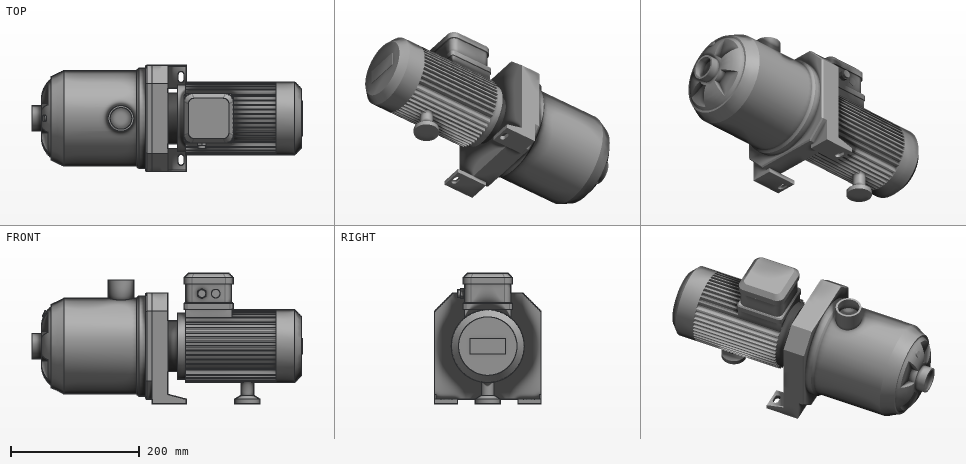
import cadquery as cq
import math


HUB_X = 14.7
POCKET_FLOOR_X = 25.3
DOME_BASE_X = 30.0
SHELL_X = 50.0
COLLAR_X = 166.3
PLATE_X = 176.8
PLATE_STEP_X = 187.0
LANTERN_X = 211.5
LANTERN_FLANGE_X = 226.0
MOTOR_X = 238.5
FAN_COVER_X = 379.2
FAN_TAPER_X = 408.5
FAN_END_X = 419.5
END_X = 421.0

GROUND_Z = -89.5

PIPE_DIA = 40.0
PIPE_BORE = 33.5
HUB_R = 25.0
DOME_MID = (19.8, 49.2)
DOME_R = 61.5
TAPER_R = 65.0
SHELL_R = 149.0 / 2
COLLAR_R = 156.5 / 2
POCKET_ANGLE = 45.0
POCKET_COUNT = 4
OUTLET_X = 138.5
OUTLET_TOP_Z = 103.0
OUTLET_FLOOR_Z = 84.0

VENT_DIA = 10.0
VENT_BASE = (23.5, 48.5)
VENT_TILT = 23.0
VENT_LENGTH = 6.0

PLATE_WIDTH = 166.0
PLATE_CORNER = 28.5
EDGE_BEVEL = 2.5
EDGE_BEVEL_DEPTH = 1.3
FOOT_WIDTH = 36.0
TOE_X = 240.5
TOE_THICK = 7.0
GUSSET_WIDTH = 2.5
GUSSET_HEIGHT = 14.7
SLOT_X = 232.0
SLOT_Y = 64.5
SLOT_LENGTH = 17.0
SLOT_WIDTH = 9.0

LANTERN_DIA = 79.5
LANTERN_FLANGE_DIA = 103.5

MOTOR_R = 113.5 / 2
CORE_R = 51.8
FIN_THICK = 1.98
FINS_PER_SIDE = 5
FIN_ROW_WIDTH = 70.0
FIN_PITCH = FIN_ROW_WIDTH / (2 * FINS_PER_SIDE)
PAD_LENGTH = 72.5
PAD_WIDTH = 72.5
PAD_BOTTOM_Z = 44.0
PAD_TOP_Z = 57.2

FAN_END_R = 45.5
BADGE_WIDTH = 54.7
BADGE_HEIGHT = 24.5

BOX_X = 275.0
BOX_SIZE = 71.5
BOX_CORNER = 10.0
RIM_SIZE = 77.0
RIM_CORNER = 5.0
RIM_TOP_Z = 68.0
RIM_BEVEL = 2.0
LID_CORNER = 12.5
LID_Z = 96.5
LID_BEVEL = 7.0
LID_TOP_CORNER = 8.5
BOX_TOP_Z = 113.5
ENTRY_Z = 81.5
KNOCKOUT_X = 286.0
KNOCKOUT_DIA = 13.5
KNOCKOUT_RELIEF = 1.0

GLAND_X = 264.5
GLAND_DIA = 12.0
GLAND_FLATS = 13.5
GLAND_NUT_LENGTH = 6.7
GLAND_LENGTH = 11.0

SUPPORT_X = 335.0
SUPPORT_DIA = 39.5
STEM_DIA = 20.0
SUPPORT_RIM_HEIGHT = 7.0
SUPPORT_CONE_HEIGHT = 6.0
STEM_TOP_Z = -50.5


def rod(x_start, x_end, radius):
    """A round bar on the shaft axis."""
    return cq.Workplane("YZ", origin=(x_start, 0, 0)).circle(radius).extrude(x_end - x_start)


def spin(profile):
    """Turn a profile drawn as (X, radius) around the shaft axis."""
    return profile.close().revolve(360, (0, 0, 0), (1, 0, 0))


def post(x, z_start, z_end, diameter):
    """A vertical round bar in the middle plane."""
    return cq.Workplane("XY", origin=(x, 0, z_start)).circle(diameter / 2).extrude(z_end - z_start)


def rounded_block(size, corner, z_start, z_end):
    """A square block centred on the terminal box, with rounded vertical edges."""
    block = cq.Workplane("XY", origin=(BOX_X, 0, z_start)).rect(size, size).extrude(z_end - z_start)
    return block.edges("|Z").fillet(corner)


def make_vent_plug():
    tilt = math.radians(VENT_TILT)
    axis = cq.Vector(-math.cos(tilt), 0, math.sin(tilt))
    base = cq.Vector(VENT_BASE[0], 0, VENT_BASE[1])
    return cq.Workplane(cq.Solid.makeCylinder(VENT_DIA / 2, VENT_LENGTH, base, axis))


def make_dome_pockets():
    """Wedge-shaped recesses between the hub and the dome's rim."""
    reach = 2 * DOME_R
    half_width = reach * math.tan(math.radians(POCKET_ANGLE / 2))
    wedge = (
        cq.Workplane("YZ")
        .polyline([(0, 0), (reach, -half_width), (reach, half_width)])
        .close()
        .extrude(POCKET_FLOOR_X)
    )
    wedge = wedge.cut(rod(0, POCKET_FLOOR_X, HUB_R))
    pockets = cq.Workplane("YZ")
    for i in range(POCKET_COUNT):
        angle = 360 / POCKET_COUNT * (i + 0.5)
        pockets = pockets.add(wedge.rotate((0, 0, 0), (1, 0, 0), angle))
    return pockets


def make_casing_flange():
    """The eight-sided flange that closes the casing against the bracket."""
    return (
        cq.Workplane("YZ", origin=(PLATE_X, 0, 0))
        .rect(PLATE_WIDTH, PLATE_WIDTH)
        .extrude(PLATE_STEP_X - PLATE_X)
        .edges("|X").chamfer(PLATE_CORNER)
        .faces("<X").chamfer(EDGE_BEVEL_DEPTH, EDGE_BEVEL)
    )


def make_casing(vent_plug):
    chamfer = COLLAR_R - SHELL_R
    casing = spin(
        cq.Workplane("XY")
        .moveTo(HUB_X, 0)
        .lineTo(HUB_X, HUB_R)
        .threePointArc(DOME_MID, (DOME_BASE_X, DOME_R))
        .lineTo(DOME_BASE_X, TAPER_R)
        .lineTo(SHELL_X, SHELL_R)
        .lineTo(COLLAR_X - chamfer, SHELL_R)
        .lineTo(COLLAR_X, COLLAR_R)
        .lineTo(PLATE_X, COLLAR_R)
        .lineTo(PLATE_X, 0)
    )
    for pocket in make_dome_pockets().vals():
        casing = casing.cut(cq.Workplane(pocket))
    suction = rod(0, HUB_X, PIPE_DIA / 2).cut(rod(0, HUB_X, PIPE_BORE / 2))
    outlet = post(OUTLET_X, 0, OUTLET_TOP_Z, PIPE_DIA).cut(
        post(OUTLET_X, OUTLET_FLOOR_Z, OUTLET_TOP_Z, PIPE_BORE)
    )
    return casing.union(make_casing_flange()).union(suction).union(outlet).cut(vent_plug)


def make_foot():
    """The foot on the +Y side, with a toe, a gusset along its outer edge and a bolt slot."""
    outer_y = PLATE_WIDTH / 2
    corner = (PLATE_STEP_X, outer_y - FOOT_WIDTH, GROUND_Z)
    upright_depth = LANTERN_X - PLATE_STEP_X
    upright_height = PLATE_CORNER - outer_y - GROUND_Z
    upright = cq.Workplane("XY").box(upright_depth, FOOT_WIDTH, upright_height, centered=False)
    toe = cq.Workplane("XY").box(TOE_X - PLATE_STEP_X, FOOT_WIDTH, TOE_THICK, centered=False)
    gusset = (
        cq.Workplane("XZ", origin=(0, outer_y, 0))
        .moveTo(LANTERN_X, GROUND_Z)
        .lineTo(TOE_X, GROUND_Z)
        .lineTo(TOE_X, GROUND_Z + TOE_THICK)
        .lineTo(LANTERN_X, GROUND_Z + GUSSET_HEIGHT)
        .close()
        .extrude(GUSSET_WIDTH)
    )
    slot = (
        cq.Workplane("XY", origin=(SLOT_X, SLOT_Y, GROUND_Z))
        .slot2D(SLOT_LENGTH, SLOT_WIDTH, 90)
        .extrude(TOE_THICK)
    )
    return toe.union(upright).translate(corner).union(gusset).cut(slot)


def make_bracket():
    """An upright plate standing on two feet."""
    plate = (
        cq.Workplane("YZ", origin=(PLATE_STEP_X, 0, 0))
        .rect(PLATE_WIDTH, PLATE_WIDTH)
        .extrude(LANTERN_X - PLATE_STEP_X)
        .edges("|X and >Z").chamfer(PLATE_CORNER)
    )
    foot = make_foot()
    return plate.union(foot).union(foot.mirror("XZ"))


def make_lantern():
    return rod(LANTERN_X, MOTOR_X, LANTERN_DIA / 2).union(
        rod(LANTERN_FLANGE_X, MOTOR_X, LANTERN_FLANGE_DIA / 2)
    )


def make_motor(support):
    """A round core with rows of parallel fins, level at the sides and upright above and below."""
    length = FAN_COVER_X - MOTOR_X
    ribs = cq.Workplane("YZ", origin=(MOTOR_X, 0, 0))
    offsets = [FIN_PITCH * i for i in range(-FINS_PER_SIDE, FINS_PER_SIDE + 1)]
    level = ribs.pushPoints([(0, z) for z in offsets]).rect(2 * MOTOR_R, FIN_THICK).extrude(length)
    upright = ribs.pushPoints([(y, 0) for y in offsets]).rect(FIN_THICK, 2 * MOTOR_R).extrude(length)
    fins = level.union(upright).intersect(rod(MOTOR_X, FAN_COVER_X, MOTOR_R))
    pad = cq.Workplane("XY").box(
        PAD_LENGTH, PAD_WIDTH, PAD_TOP_Z - PAD_BOTTOM_Z, centered=(False, True, False)
    ).translate((MOTOR_X, 0, PAD_BOTTOM_Z))
    return rod(MOTOR_X, FAN_COVER_X, CORE_R).union(fins).union(pad).cut(support)


def make_fan_cover():
    cover = spin(
        cq.Workplane("XY")
        .moveTo(FAN_COVER_X, 0)
        .lineTo(FAN_COVER_X, MOTOR_R)
        .lineTo(FAN_TAPER_X, MOTOR_R)
        .lineTo(FAN_END_X, FAN_END_R)
        .lineTo(FAN_END_X, 0)
    )
    badge = (
        cq.Workplane("YZ", origin=(FAN_END_X, 0, 0))
        .rect(BADGE_WIDTH, BADGE_HEIGHT)
        .extrude(END_X - FAN_END_X)
    )
    return cover.union(badge)


def make_terminal_box():
    rim = rounded_block(RIM_SIZE, RIM_CORNER, PAD_TOP_Z, RIM_TOP_Z).faces(">Z").chamfer(RIM_BEVEL)
    box = rim.union(rounded_block(BOX_SIZE, BOX_CORNER, PAD_TOP_Z, LID_Z))
    knockout = (
        cq.Workplane("XZ", origin=(KNOCKOUT_X, -BOX_SIZE / 2, ENTRY_Z))
        .circle(KNOCKOUT_DIA / 2)
        .extrude(KNOCKOUT_RELIEF)
    )
    return box.union(knockout)


def make_lid():
    """A rounded cap whose upper part tapers to a smaller rounded square."""
    taper_z = BOX_TOP_Z - LID_BEVEL
    top_size = RIM_SIZE - 2 * LID_BEVEL
    lower = cq.Sketch().rect(RIM_SIZE, RIM_SIZE).vertices().fillet(LID_CORNER)
    upper = cq.Sketch().rect(top_size, top_size).vertices().fillet(LID_TOP_CORNER)
    taper = (
        cq.Workplane("XY", origin=(BOX_X, 0, taper_z))
        .placeSketch(lower, upper.moved(cq.Location(cq.Vector(0, 0, LID_BEVEL))))
        .loft()
    )
    return rounded_block(RIM_SIZE, LID_CORNER, LID_Z, taper_z).union(taper)


def make_gland():
    """A hexagonal nut against the box wall with a round cap in front of it."""
    wall = cq.Workplane("XZ", origin=(GLAND_X, -BOX_SIZE / 2, ENTRY_Z))
    corner_dia = GLAND_FLATS / math.cos(math.pi / 6)
    nut = wall.transformed(rotate=(0, 0, 90)).polygon(6, corner_dia).extrude(GLAND_NUT_LENGTH)
    return nut.union(wall.circle(GLAND_DIA / 2).extrude(GLAND_LENGTH))


def make_support():
    """An adjustable foot whose stem reaches between the fins into the motor."""
    rim_z = GROUND_Z + SUPPORT_RIM_HEIGHT
    cone = (
        cq.Workplane("XY", origin=(SUPPORT_X, 0, rim_z))
        .circle(SUPPORT_DIA / 2)
        .workplane(offset=SUPPORT_CONE_HEIGHT)
        .circle(STEM_DIA / 2)
        .loft()
    )
    rim = post(SUPPORT_X, GROUND_Z, rim_z, SUPPORT_DIA)
    return rim.union(cone).union(post(SUPPORT_X, rim_z, STEM_TOP_Z, STEM_DIA))


vent_plug = make_vent_plug()
casing = make_casing(vent_plug)
bracket = make_bracket()
lantern = make_lantern()
support = make_support()
motor = make_motor(support)
fan_cover = make_fan_cover()
terminal_box = make_terminal_box()
lid = make_lid()
gland = make_gland()

result = cq.Compound.makeCompound([
    casing.val(),
    vent_plug.val(),
    bracket.val(),
    lantern.val(),
    motor.val(),
    support.val(),
    fan_cover.val(),
    terminal_box.val(),
    lid.val(),
    gland.val(),
])